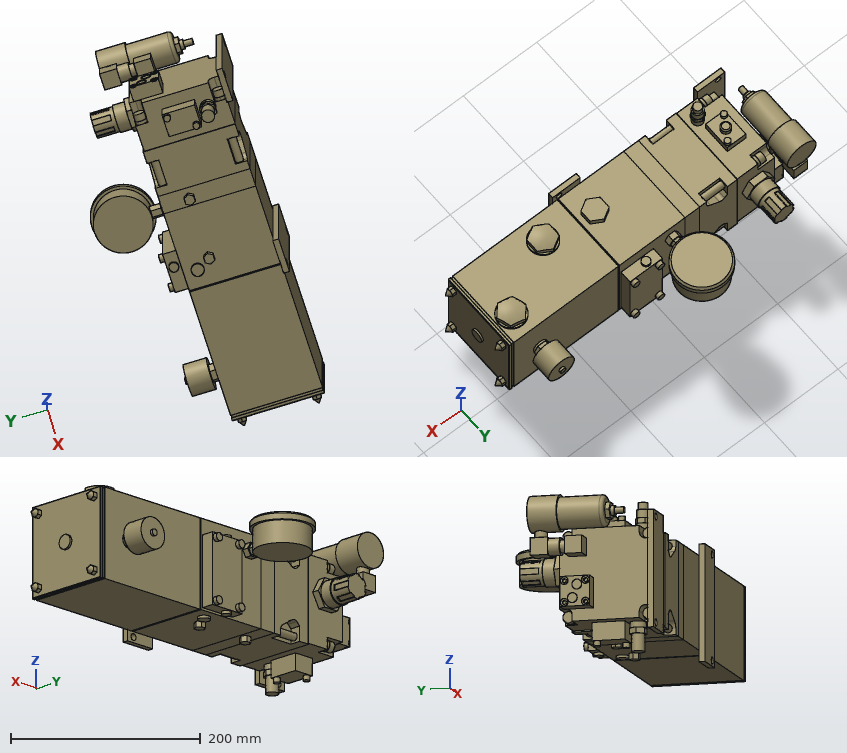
import cadquery as cq
import math

ALONG_X = (1, 0, 0)
ALONG_Y = (0, 1, 0)
UP = (0, 0, 1)
DOWN = (0, 0, -1)
TOWARD_HEAD = (-1, 0, 0)
FORWARD = (0, -1, 0)

section_size = 101.8
half = section_size / 2
air_start = 51.5
ring_start = 103.0
pump_start = 123.0
tank_start = 212.0
cover_end = 362.5

plate_thickness = 6.5
plate_height = 126.3
plate_hole_offset = 57.0
plate_hole_radius = 3.5


def rod(start, direction, length, radius):
    """Round bar from a start point along a direction."""
    return cq.Workplane(cq.Solid.makeCylinder(radius, length, cq.Vector(*start), cq.Vector(*direction)))


def hex_bar(start, direction, length, across_flats, turn=0):
    """Hexagonal bar from a start point along a direction, turned about its own axis."""
    side_direction = (0, 0, 1) if direction[2] == 0 else (1, 0, 0)
    plane = cq.Plane(origin=start, xDir=side_direction, normal=direction)
    corner_diameter = across_flats / math.cos(math.pi / 6)
    outline = cq.Workplane(plane).transformed(rotate=(0, 0, turn)).polygon(6, corner_diameter)
    return outline.extrude(length)


def block(x_range, y_range, z_range):
    """Rectangular block between two limits on each axis."""
    size = [r[1] - r[0] for r in (x_range, y_range, z_range)]
    corner = (x_range[0], y_range[0], z_range[0])
    return cq.Workplane("XY").box(*size, centered=False).translate(corner)


def join(parts):
    """One body made of overlapping or touching parts."""
    body = parts[0]
    for part in parts[1:]:
        body = body.union(part)
    return body


def square_section(start, end, size=section_size):
    """Square length of the main stack, centred on the main axis."""
    return block((start, end), (-size / 2, size / 2), (-size / 2, size / 2))


def corner_signs():
    """The four corners of the stack as (Y, Z) signs."""
    return [(y, z) for y in (-1, 1) for z in (-1, 1)]


def mounting_plate(start, end, hole_x):
    """Upright plate on the -Y side with one hole near each end."""
    plate = block((start, end), (-half - plate_thickness, -half), (-plate_height / 2, plate_height / 2))
    for z in (-plate_hole_offset, plate_hole_offset):
        plate = plate.cut(rod((hole_x, -half, z), FORWARD, plate_thickness, plate_hole_radius))
    return plate


head_half_height = 49.5
head_back = 50.0
pocket_depth = 22.5
pocket_width = 13.5
pocket_radius = 6.5
bolt_inset = 6.5
bolt_head_radius = 6.0
bolt_head_length = 7.8
washer_radius = 6.5
washer_thickness = 3.5
valve_x = 25.7


def head_block():
    """Head with a bolt pocket in each corner of its outer face."""
    head = block((0, air_start), (-half, head_back), (-head_half_height, head_half_height))
    for y in (-half, head_back):
        for z_sign in (-1, 1):
            y_inward = math.copysign(1, -y)
            z = z_sign * head_half_height
            inner_y = y + y_inward * pocket_width
            inner_z = z - z_sign * pocket_width
            pocket = block((0, pocket_depth), sorted((y, inner_y)), sorted((z, inner_z)))
            inner_edge = cq.selectors.NearestToPointSelector((pocket_depth / 2, inner_y, inner_z))
            head = head.cut(pocket.edges("|X").edges(inner_edge).fillet(pocket_radius))
            bolt_y = y + y_inward * bolt_inset
            bolt_z = z - z_sign * bolt_inset
            washer_x = pocket_depth - washer_thickness
            washer = rod((pocket_depth, bolt_y, bolt_z), TOWARD_HEAD, washer_thickness, washer_radius)
            bolt_head = rod((washer_x, bolt_y, bolt_z), TOWARD_HEAD, bolt_head_length, bolt_head_radius)
            head = head.union(washer).union(bolt_head)
    return head


pilot_top = -4.0
pilot_size = 32.3
pilot_y = 12.5
pilot_depth = 16.0
pilot_screw_inset = 4.5


def pilot_valve():
    """Block on the outer face with four corner screws and two ports."""
    valve = block((-pilot_depth, 0), (pilot_y, pilot_y + pilot_size), (pilot_top - pilot_size, pilot_top))
    port_radius = 5.5
    port_depth = 1.0
    for y, z in ((26.5, -13.0), (31.5, -27.5)):
        valve = valve.cut(rod((-pilot_depth, y, z), ALONG_X, port_depth, port_radius))
    screw_depth = 4.0
    screw_recess = 1.2
    screw_radius = 4.0
    socket_size = 4.0
    for y in (pilot_y + pilot_screw_inset, pilot_y + pilot_size - pilot_screw_inset):
        for z in (pilot_top - pilot_screw_inset, pilot_top - pilot_size + pilot_screw_inset):
            valve = valve.cut(rod((-pilot_depth, y, z), ALONG_X, screw_recess, screw_radius))
            valve = valve.cut(hex_bar((-pilot_depth, y, z), ALONG_X, screw_depth, socket_size))
    return valve


elbow_size = 19.0
elbow_x = -24.0
elbow_bottom = 19.0
filter_x = -15.5
filter_z = 63.8
filter_cap_radius = 19.5
filter_cap_start = 43.7
filter_cap_end = 76.0


def elbow_pipe():
    """Two cube elbows that carry the filter on the outer face."""
    x_range = (elbow_x, elbow_x + elbow_size)
    z_range = (elbow_bottom, elbow_bottom + elbow_size)
    axis_z = elbow_bottom + elbow_size / 2
    axis_x = elbow_x + elbow_size / 2
    inner_y = 19.0
    outer_y = 56.5
    nut_y = 43.7
    inner = block(x_range, (inner_y, inner_y + elbow_size), z_range)
    outer = block(x_range, (outer_y, outer_y + elbow_size), z_range)
    nut = rod((axis_x, nut_y, axis_z), ALONG_Y, outer_y - nut_y, elbow_size / 2)
    thread_start = inner_y + elbow_size
    pipe_radius = 7.0
    thread = rod((axis_x, thread_start, axis_z), ALONG_Y, nut_y - thread_start, pipe_radius)
    inlet_y = inner_y + elbow_size / 2
    inlet = rod((axis_x, inlet_y, axis_z), ALONG_X, -axis_x, pipe_radius)
    riser_y = outer_y + elbow_size / 2
    riser = rod((axis_x, riser_y, axis_z), UP, filter_z - axis_z, pipe_radius)
    return join([inner, outer, nut, thread, inlet, riser])


def air_filter():
    """Filter with a wide cap, a bowl with a rounded end and a stepped drain, along Y."""
    bowl_end = -6.5
    bowl_radius = 17.0
    bowl_rounding = 4.0
    nut_end = -11.5
    nut_flats = 16.8
    collar_end = -15.5
    collar_radius = 5.5
    nozzle_end = -25.5
    nozzle_radius = 3.47
    cap_length = filter_cap_end - filter_cap_start
    cap = rod((filter_x, filter_cap_start, filter_z), ALONG_Y, cap_length, filter_cap_radius)
    bowl = rod((filter_x, filter_cap_start, filter_z), FORWARD, filter_cap_start - bowl_end, bowl_radius)
    bowl = bowl.faces("<Y").edges().fillet(bowl_rounding)
    nut = hex_bar((filter_x, bowl_end, filter_z), FORWARD, bowl_end - nut_end, nut_flats, turn=30)
    collar = rod((filter_x, nut_end, filter_z), FORWARD, nut_end - collar_end, collar_radius)
    nozzle = rod((filter_x, collar_end, filter_z), FORWARD, collar_end - nozzle_end, nozzle_radius)
    return join([cap, bowl, nut, collar, nozzle])


def regulator():
    """Pressure regulator on the +Y side with a fluted knob."""
    axis_z = 9.0
    flange_end = 58.5
    flange_flats = 32.5
    collar_end = 72.0
    collar_radius = 15.0
    knob_start = 76.5
    knob_end = 97.0
    knob_radius = 14.0
    flute_count = 6
    flute_width = 6.5
    flute_depth = 1.5
    flange = hex_bar((valve_x, head_back, axis_z), ALONG_Y, flange_end - head_back, flange_flats, turn=30)
    collar = rod((valve_x, flange_end, axis_z), ALONG_Y, collar_end - flange_end, collar_radius)
    knob = rod((valve_x, collar_end, axis_z), ALONG_Y, knob_end - collar_end, knob_radius)
    flute = block(
        (valve_x + knob_radius - flute_depth, valve_x + knob_radius + flute_depth),
        (knob_start, knob_end),
        (axis_z - flute_width / 2, axis_z + flute_width / 2),
    )
    for i in range(flute_count):
        angle = 360 * i / flute_count
        turned = flute.rotate((valve_x, 0, axis_z), (valve_x, 1, axis_z), angle)
        knob = knob.cut(turned)
    return join([flange, collar, knob])


cover_length = 25.5
cover_width = 36.0
screw_spread_x = 8.5
screw_spread_y = 13.5
cover_screw_radius = 3.5


def valve_cover():
    """Low cover on top of the head with a middle stud and two screws."""
    cover_top = 58.5
    x_range = (valve_x - cover_length / 2, valve_x + cover_length / 2)
    parts = [block(x_range, (-cover_width / 2, cover_width / 2), (head_half_height, cover_top))]
    stud_height = 7.5
    stud_radius = 6.0
    stud_chamfer = 1.5
    screw_height = 5.0
    stud = rod((valve_x, 0, cover_top), UP, stud_height, stud_radius)
    parts.append(stud.faces(">Z").edges().chamfer(stud_chamfer))
    for side in (-1, 1):
        position = (valve_x + side * screw_spread_x, side * screw_spread_y, cover_top)
        parts.append(rod(position, UP, screw_height, cover_screw_radius))
    return join(parts)


def exhaust_block():
    """Deep block under the head held by two screws on one diagonal."""
    bottom = -69.0
    screw_height = 5.5
    x_range = (valve_x - cover_length / 2, valve_x + cover_length / 2)
    parts = [block(x_range, (-cover_width / 2, cover_width / 2), (bottom, -head_half_height))]
    for side in (-1, 1):
        position = (valve_x + side * screw_spread_x, -side * screw_spread_y, bottom)
        parts.append(rod(position, DOWN, screw_height, cover_screw_radius))
    return join(parts)


def relief_valve():
    """Stepped fitting standing on top of the head."""
    x = 39.0
    y = -30.5
    base_top = 58.5
    hex_top = 64.0
    body_top = 73.0
    top = 81.0
    body_radius = 7.0
    nut_flats = 14.5
    cap_radius = 5.5
    base = rod((x, y, head_half_height), UP, base_top - head_half_height, body_radius)
    nut = hex_bar((x, y, base_top), UP, hex_top - base_top, nut_flats, turn=30)
    body = rod((x, y, hex_top), UP, body_top - hex_top, body_radius)
    cap = rod((x, y, body_top), UP, top - body_top, cap_radius)
    return join([base, nut, body, cap])


def silencer():
    """Stepped fitting hanging under the head."""
    x = valve_x
    y = -29.0
    base_bottom = -56.0
    nut_bottom = -62.0
    bottom = -81.0
    base_radius = 8.5
    nut_flats = 16.5
    body_radius = 7.0
    base = rod((x, y, -head_half_height), DOWN, -head_half_height - base_bottom, base_radius)
    nut = hex_bar((x, y, base_bottom), DOWN, base_bottom - nut_bottom, nut_flats)
    body = rod((x, y, nut_bottom), DOWN, nut_bottom - bottom, body_radius)
    return join([base, nut, body])


head = join(
    [
        head_block(),
        mounting_plate(start=-14.7, end=pocket_depth, hole_x=-5.7),
        pilot_valve(),
        elbow_pipe(),
        air_filter(),
        regulator(),
        valve_cover(),
        exhaust_block(),
        relief_valve(),
        silencer(),
    ]
)


window_start = 65.0
window_end = 93.5
window_depth = 13.0
tie_rod_y = 42.5
tie_rod_z = 44.0
tie_rod_radius = 4.5


def window(y_sign, z_sign):
    """Corner opening with a sloped, rounded outline that lays a tie bolt bare."""
    outline = (
        cq.Workplane("XZ")
        .moveTo(window_start, half)
        .lineTo(window_start, 34.0)
        .lineTo(69.0, 30.0)
        .threePointArc((72.5, 28.5), (76.0, 29.5))
        .lineTo(88.3, 37.0)
        .threePointArc((92.0, 40.0), (window_end, 43.7))
        .lineTo(window_end, half)
        .close()
    )
    cut = outline.extrude(window_depth)
    if z_sign < 0:
        cut = cut.mirror("XY")
    shift = half if y_sign > 0 else window_depth - half
    return cut.translate((0, shift, 0))


def air_section():
    """Square section with a window and a tie rod at each corner."""
    section = square_section(air_start, ring_start)
    for y_sign, z_sign in corner_signs():
        section = section.cut(window(y_sign, z_sign))
        rod_start = (window_start, y_sign * tie_rod_y, z_sign * tie_rod_z)
        section = section.union(rod(rod_start, ALONG_X, window_end - window_start, tie_rod_radius))
    return section


air = air_section()


def drain_plug(x):
    """Small hexagonal plug under the stack."""
    y = 19.5
    length = 6.5
    across_flats = 10.5
    return hex_bar((x, y, -half), DOWN, length, across_flats)


def spacer_ring():
    """Plain square spacer with a drain plug underneath."""
    return square_section(ring_start, pump_start).union(drain_plug(115.0))


ring = spacer_ring()


def pressure_gauge():
    """Round gauge facing up, on a stepped hexagonal stem along Y."""
    x = 141.5
    y = 101.5
    bottom = 18.0
    bezel_bottom = 43.5
    top = 52.5
    case_radius = 31.5
    bezel_radius = 34.7
    bezel_chamfer = 2.5
    nut_end = 58.5
    nut_flats = 15.0
    stem_flats = 12.3
    stem_z = (bottom + bezel_bottom) / 2
    case = rod((x, y, bottom), UP, bezel_bottom - bottom, case_radius)
    bezel = rod((x, y, bezel_bottom), UP, top - bezel_bottom, bezel_radius)
    bezel = bezel.faces(">Z").edges().chamfer(bezel_chamfer)
    nut = hex_bar((x, half, stem_z), ALONG_Y, nut_end - half, nut_flats, turn=30)
    stem = hex_bar((x, nut_end, stem_z), ALONG_Y, y - nut_end, stem_flats, turn=30)
    return join([case, bezel, nut, stem])


def valve_block():
    """Block on the +Y side with screws and a vertical port plug."""
    start = 166.0
    end = 210.0
    back = 66.0
    bottom = -48.2
    top = 32.5
    screw_inset = 5.5
    screw_radius = 4.5
    screw_height = 5.0
    plug_x = 182.3
    plug_y = 58.5
    plug_radius = 5.5
    plug_height = 3.3
    parts = [block((start, end), (half, back), (bottom, top))]
    for x in (start + screw_inset, end - screw_inset):
        for z in (bottom + screw_inset, top - screw_inset):
            parts.append(rod((x, back, z), ALONG_Y, screw_height, screw_radius))
    plug_length = top - bottom + 2 * plug_height
    parts.append(rod((plug_x, plug_y, bottom - plug_height), UP, plug_length, plug_radius))
    return join(parts)


def pump_section():
    """Square section with its hexagonal plug, gauge, valve block and mounting plate."""
    plug_x = 192.0
    plug_y = -14.5
    plug_height = 7.0
    plug_flats = 26.0
    disc_y = 35.0
    disc_height = 3.0
    disc_radius = 7.0
    plug = hex_bar((plug_x, plug_y, half), UP, plug_height, plug_flats, turn=30)
    bottom_disc = rod((plug_x, disc_y, -half), DOWN, disc_height, disc_radius)
    return join(
        [
            square_section(pump_start, tank_start),
            plug,
            bottom_disc,
            drain_plug(182.5),
            pressure_gauge(),
            valve_block(),
            mounting_plate(start=182.3, end=220.0, hole_x=211.0),
        ]
    )


pump = pump_section()


groove_width = 1.2
groove_depth = 1.0


def tank_shell():
    """Square tank with a shallow groove at the pump end and around its end cover."""
    gasket_start = 356.0
    gasket_end = 359.0
    cover_chamfer = 1.0
    inner_size = section_size - 2 * groove_depth
    neck = square_section(tank_start, tank_start + groove_width, inner_size)
    shell = square_section(tank_start + groove_width, gasket_start)
    gasket = square_section(gasket_start, gasket_end, inner_size)
    cover = square_section(gasket_end, cover_end).faces(">X").edges().chamfer(cover_chamfer)
    badge_height = 2.5
    badge_radius = 8.0
    badge = rod((cover_end, 0, 0), ALONG_X, badge_height, badge_radius)
    return join([neck, shell, gasket, cover, badge])


def filler_cap(x, y, turn):
    """Flanged hexagonal cap with a domed top."""
    flange_height = 2.0
    flange_radius = 17.5
    head_height = 8.5
    dome_height = 3.5
    across_flats = 30.2
    flange = rod((x, y, half), UP, flange_height, flange_radius)
    nut = hex_bar((x, y, half + flange_height), UP, head_height, across_flats, turn)
    corner_radius = across_flats / 2 / math.cos(math.pi / 6)
    sphere_radius = (corner_radius**2 + dome_height**2) / (2 * dome_height)
    dome_top = half + flange_height + head_height
    sphere = cq.Workplane("XY").sphere(sphere_radius).translate((x, y, dome_top - sphere_radius))
    return flange.union(nut.intersect(sphere))


def breather():
    """Round breather on a hexagonal neck, along Y."""
    x = 320.5
    neck_end = 53.5
    hex_end = 61.0
    body_end = 86.5
    neck_radius = 9.0
    nut_flats = 17.5
    body_radius = 17.5
    neck = rod((x, half, 0), ALONG_Y, neck_end - half, neck_radius)
    nut = hex_bar((x, neck_end, 0), ALONG_Y, hex_end - neck_end, nut_flats, turn=30)
    body = rod((x, hex_end, 0), ALONG_Y, body_end - hex_end, body_radius)
    knob_height = 3.0
    knob_radius = 3.5
    knob = rod((x, body_end, 0), ALONG_Y, knob_height, knob_radius)
    return join([neck, nut, body, knob])


def cover_nut(y, z):
    """Hexagonal nut with a conical end on the end cover."""
    nut_length = 5.5
    nut_flats = 9.0
    tip = 373.5
    cone_start = cover_end + nut_length
    nut = hex_bar((cover_end, y, z), ALONG_X, nut_length, nut_flats)
    cone_length = tip - cone_start
    tip_radius = 0.5
    base = cq.Vector(cone_start, y, z)
    cone = cq.Solid.makeCone(nut_flats / 2, tip_radius, cone_length, base, cq.Vector(*ALONG_X))
    return nut.union(cq.Workplane(cone))


nut_offset = 41.3
tank = join(
    [
        tank_shell(),
        filler_cap(256.0, -23.0, turn=30),
        filler_cap(336.8, 23.5, turn=-12),
        breather(),
        *[cover_nut(y * nut_offset, z * nut_offset) for y, z in corner_signs()],
    ]
)

result = cq.Compound.makeCompound([body.solids().val() for body in (head, air, ring, pump, tank)])